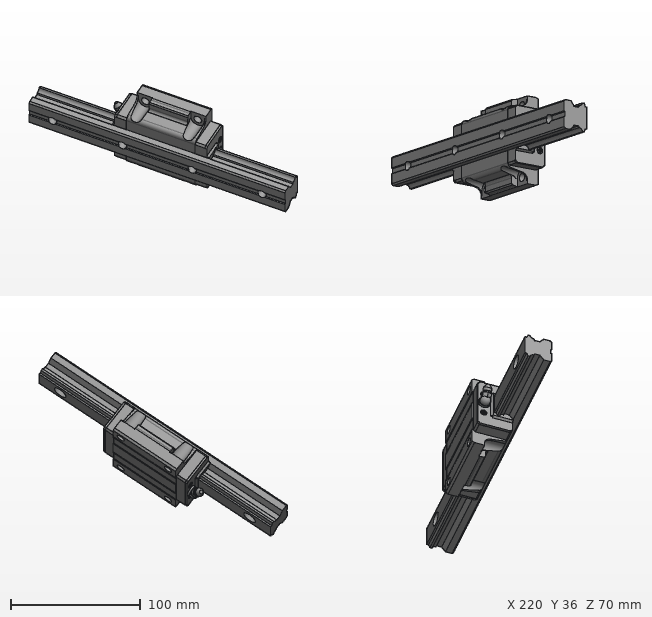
import cadquery as cq
import math


rail_length = 220.0
rail_height = 22.0
rail_half_width = 11.5
rail_foot_chamfer = 1.3
rail_waist_half_width = 7.5
rail_top_half_width = 8.8
waist_bottom = 9.8
waist_top = 13.9
foot_shoulder = 6.6
lower_race_start = 14.4
lower_race_end = 17.7
upper_race_start = 19.4
upper_race_end = 20.6
base_groove_half_width = 2.4
base_groove_floor_half_width = 1.8
base_groove_depth = 0.8
rail_hole_pitch = 60.0
rail_hole_count = 4
rail_hole_diameter = 7.0
rail_counterbore_diameter = 11.0
rail_counterbore_depth = 9.0

block_top = 36.0
block_bottom = 6.7
block_length = 59.2
flange_half_width = 35.0
flange_chamfer_y = 2.0
flange_chamfer_z = 1.0
flange_underside = 25.6
flange_root_radius = 6.0
skirt_half_width = 26.4
skirt_foot_half_width = 24.7
skirt_foot_radius = 3.4
relief_depth = 0.7
relief_inner = 8.6
relief_outer = 20.7

bolt_spacing_x = 45.0
bolt_spacing_z = 57.0
bolt_hole_diameter = 6.6
spotface_radius = 5.9

rib_bottom = 20.0
rib_crown = 20.9
rib_nose = 20.1
rib_bevel_start = 25.0
rib_bevel_end = 23.5
rib_bevel_half_width = 34.4
rib_edge_half_width = 34.1
rib_nose_half_width = 32.8
rib_base_half_width = 28.6
rib_root_radius = 2.5
rib_root_end_angle = -80.0

cap_top = 34.9
cap_bottom = 6.4
cap_half_width = 23.0
cap_chamfer = 1.6
cap_end = 38.0
seal_end = 39.7
seal_inset = 0.25
lip_end = 41.5
lip_outer_half_width = 13.5
lip_inner_half_width = 12.1
lip_outer_top = 24.5
lip_inner_top = 22.9

fitting_y = 30.0
screw_radius = 2.5
screw_recess_depth = 0.4
screw_spacing_z = 20.0
screw_cross_length = 3.2
screw_cross_width = 0.8
plug_length = 1.0

nipple_base_radius = 4.6
nipple_base_end = 41.5
nipple_ball_radius = 4.3
nipple_ball_x = -43.0
nipple_ball_z = -0.3
nipple_tilt = 32.0
nipple_hex_across_corners = 7.9
nipple_hex_start = 2.0
nipple_hex_end = 6.3
nipple_neck_radius = 2.7
nipple_neck_end = 7.6
nipple_head_radius = 3.4
nipple_head_end = 10.0
nipple_tip_radius = 1.5
nipple_tip_end = 13.0


def mirrored(points):
    """The same (y, z) points on the -Z side, in reverse order."""
    return [(y, -z) for y, z in reversed(points)]


def arc_point(center, radius, degrees):
    angle = math.radians(degrees)
    return (center[0] + radius * math.cos(angle), center[1] + radius * math.sin(angle))


def extrude_x(profile, x_start, x_end):
    """Extrude a closed profile drawn in the YZ plane from one X to another."""
    return profile.extrude(x_end - x_start).translate((x_start, 0, 0))


def box_between(x_range, y_range, z_range):
    size = [end - start for start, end in (x_range, y_range, z_range)]
    corner = (x_range[0], y_range[0], z_range[0])
    return cq.Workplane("XY").box(*size, centered=False).translate(corner)


def rail_envelope(x_start, x_end):
    """Rail section without the groove in its base."""
    foot = [
        (0, rail_half_width - rail_foot_chamfer),
        (rail_foot_chamfer, rail_half_width),
        (foot_shoulder, rail_half_width),
        (waist_bottom, rail_waist_half_width),
        (waist_top, rail_waist_half_width),
        (lower_race_start, rail_top_half_width),
    ]
    race_sagitta = 0.55
    lower_middle = (
        (lower_race_start + lower_race_end) / 2 + race_sagitta,
        (rail_top_half_width + rail_half_width) / 2 - race_sagitta,
    )
    profile = (
        cq.Workplane("YZ")
        .polyline([(0, 0)] + foot)
        .threePointArc(lower_middle, (lower_race_end, rail_half_width))
        .lineTo(upper_race_start, rail_half_width)
        .lineTo(upper_race_end, rail_top_half_width)
        .lineTo(rail_height, rail_top_half_width)
        .lineTo(rail_height, 0)
        .close()
    )
    half = extrude_x(profile, x_start, x_end)
    return half.union(half.mirror("XY"))


def make_rail():
    rail = rail_envelope(-rail_length / 2, rail_length / 2)
    groove_side = [
        (0, base_groove_half_width),
        (base_groove_depth, base_groove_floor_half_width),
    ]
    groove = cq.Workplane("YZ").polyline(groove_side + mirrored(groove_side)).close()
    rail = rail.cut(extrude_x(groove, -rail_length / 2, rail_length / 2))
    for index in range(rail_hole_count):
        x = (index - (rail_hole_count - 1) / 2) * rail_hole_pitch
        hole = cq.Workplane("XZ").center(x, 0).circle(rail_hole_diameter / 2).extrude(-rail_height)
        counterbore = (
            cq.Workplane("XZ", origin=(x, rail_height, 0))
            .circle(rail_counterbore_diameter / 2)
            .extrude(rail_counterbore_depth)
        )
        rail = rail.cut(hole).cut(counterbore)
    return rail


def flanged_body():
    """Steel body: flange, concave flange root and rounded skirt."""
    root_center = (flange_underside - flange_root_radius, skirt_half_width + flange_root_radius)
    foot_center = (block_bottom + skirt_foot_radius, skirt_foot_half_width - skirt_foot_radius)
    profile = (
        cq.Workplane("YZ")
        .moveTo(block_top, 0)
        .lineTo(block_top, flange_half_width - flange_chamfer_z)
        .lineTo(block_top - flange_chamfer_y, flange_half_width)
        .lineTo(flange_underside, flange_half_width)
        .lineTo(flange_underside, root_center[1])
        .threePointArc(
            arc_point(root_center, flange_root_radius, -45), (root_center[0], skirt_half_width)
        )
        .lineTo(foot_center[0], skirt_foot_half_width)
        .threePointArc(
            arc_point(foot_center, skirt_foot_radius, 135), (block_bottom, foot_center[1])
        )
        .lineTo(block_bottom, 0)
        .close()
    )
    half = extrude_x(profile, -block_length / 2, block_length / 2).union(flange_rib())
    relief = box_between(
        (-block_length / 2, block_length / 2),
        (block_top - relief_depth, block_top),
        (relief_inner, relief_outer),
    )
    half = half.cut(relief)
    return half.union(half.mirror("XY"))


def flange_rib():
    """Rib that thickens the flange between the two spotfaces of one side."""
    half_length = bolt_spacing_x / 2 - spotface_radius
    root_center = (rib_bottom - rib_root_radius, rib_base_half_width)
    root_end = arc_point(root_center, rib_root_radius, rib_root_end_angle)
    profile = (
        cq.Workplane("YZ")
        .moveTo(flange_underside, flange_half_width)
        .lineTo(rib_bevel_start, flange_half_width)
        .lineTo(rib_bevel_end, rib_bevel_half_width)
        .lineTo(rib_crown, rib_edge_half_width)
        .lineTo(rib_nose, rib_nose_half_width)
        .lineTo(rib_bottom, rib_base_half_width)
        .threePointArc(
            arc_point(root_center, rib_root_radius, -45),
            root_end,
        )
        .lineTo(flange_underside, root_end[1])
        .close()
    )
    return extrude_x(profile, -half_length, half_length)


def bolt_cutters():
    """Spotfaces, open toward the flange edge, and the bolt holes through the flange."""
    cutters = cq.Workplane("XZ")
    for x in (-bolt_spacing_x / 2, bolt_spacing_x / 2):
        for side in (-1, 1):
            z = side * bolt_spacing_z / 2
            round_end = (
                cq.Workplane("XZ").center(x, z).circle(spotface_radius).extrude(-flange_underside)
            )
            z_range = sorted((z, side * flange_half_width))
            mouth = box_between(
                (x - spotface_radius, x + spotface_radius), (0, flange_underside), z_range
            )
            hole = (
                cq.Workplane("XZ").center(x, z).circle(bolt_hole_diameter / 2).extrude(-block_top)
            )
            cutters = cutters.add(round_end).add(mouth).add(hole)
    return cutters.vals()


def cap_section(inset):
    """Closed outline shared by the end cap and its seal plate."""
    half_width = cap_half_width - inset
    top = cap_top - inset
    side = [
        (top, half_width - cap_chamfer),
        (top - cap_chamfer, half_width),
        (cap_bottom + cap_chamfer, half_width),
        (cap_bottom, half_width - cap_chamfer),
    ]
    return cq.Workplane("YZ").polyline(side + mirrored(side)).close()


def seal_lips():
    """Three wedge-shaped lips around the rail opening, thinning away from the seal plate."""
    side_wedge = (
        cq.Workplane("XZ")
        .polyline(
            [
                (seal_end, rail_waist_half_width),
                (seal_end, lip_outer_half_width),
                (lip_end, lip_inner_half_width),
                (lip_end, rail_waist_half_width),
            ]
        )
        .close()
        .extrude(cap_bottom - lip_inner_top)
        .translate((0, cap_bottom, 0))
    )
    top_wedge = (
        cq.Workplane("XY")
        .polyline(
            [
                (seal_end, waist_top),
                (seal_end, lip_outer_top),
                (lip_end, lip_inner_top),
                (lip_end, waist_top),
            ]
        )
        .close()
        .extrude(lip_inner_half_width, both=True)
    )
    return side_wedge.union(side_wedge.mirror("XY")).union(top_wedge)


def end_assembly():
    """Cap, seal plate and lips on the +X end."""
    cap = extrude_x(cap_section(0), block_length / 2, cap_end)
    plate = extrude_x(cap_section(seal_inset), cap_end, seal_end)
    end = cap.union(plate).union(seal_lips())
    for z in (-screw_spacing_z / 2, screw_spacing_z / 2):
        center = (seal_end - screw_recess_depth, fitting_y, z)
        seat = cq.Workplane("YZ", origin=center)
        recess = seat.circle(screw_radius).extrude(screw_recess_depth)
        cross = seat.rect(screw_cross_length, screw_cross_width).extrude(screw_recess_depth)
        cross = cross.union(
            seat.rect(screw_cross_width, screw_cross_length).extrude(screw_recess_depth)
        )
        end = end.cut(recess.cut(cross))
    return end


def grease_nipple():
    """Angled grease nipple on the -X end."""
    base = extrude_x(
        cq.Workplane("YZ").center(fitting_y, 0).circle(nipple_base_radius),
        -nipple_base_end,
        -seal_end,
    )
    ball_shoulder = math.sqrt(nipple_ball_radius**2 - nipple_neck_radius**2)
    turned = (
        cq.Workplane("YZ")
        .moveTo(0, -nipple_ball_radius)
        .threePointArc((nipple_ball_radius, 0), (nipple_neck_radius, ball_shoulder))
        .lineTo(nipple_neck_radius, nipple_neck_end)
        .lineTo(nipple_head_radius, nipple_neck_end)
        .lineTo(nipple_head_radius, nipple_head_end)
        .lineTo(nipple_tip_radius, nipple_tip_end)
        .lineTo(0, nipple_tip_end)
        .close()
        .revolve(360, (0, 0, 0), (0, 1, 0))
    )
    hexagon = (
        cq.Workplane("XY", origin=(0, 0, nipple_hex_start))
        .polygon(6, nipple_hex_across_corners)
        .extrude(nipple_hex_end - nipple_hex_start)
    )
    angled = (
        turned.union(hexagon)
        .rotate((0, 0, 0), (0, 1, 0), -nipple_tilt)
        .translate((nipple_ball_x, fitting_y, nipple_ball_z))
    )
    return base.union(angled)


def make_carriage():
    carriage = flanged_body()
    for cutter in bolt_cutters():
        carriage = carriage.cut(cq.Workplane(cutter))
    end = end_assembly()
    carriage = carriage.union(end).union(end.mirror("YZ"))
    carriage = carriage.cut(rail_envelope(-lip_end, lip_end))
    plug = cq.Workplane("YZ").center(fitting_y, 0).circle(screw_radius)
    carriage = carriage.union(extrude_x(plug, seal_end, seal_end + plug_length))
    return carriage.union(grease_nipple())


rail = make_rail()
carriage = make_carriage()

result = cq.Compound.makeCompound([rail.solids().val(), carriage.solids().val()])